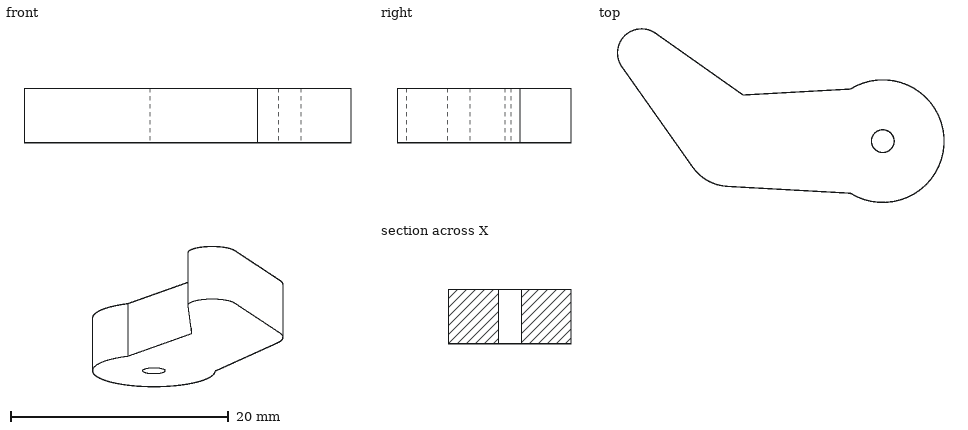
import cadquery as cq
import math

thickness = 5.0
hole_diameter = 2.07
head_radius = 5.65

pivot_center = (0, 0)
pivot_radius = 4.95
elbow_center = (-14.05, 0)
elbow_radius = 4.17
tip_center = (-22.15, 8.1)
tip_radius = 2.22


def disc(center, radius):
    return cq.Workplane("XY").center(*center).circle(radius).extrude(thickness)


def point_on_circle(center, radius, angle):
    x, y = center
    return (x + radius * math.cos(angle), y + radius * math.sin(angle))


def tapered_arm(start, start_radius, end, end_radius):
    """Two discs joined by their outer common tangents."""
    dx = end[0] - start[0]
    dy = end[1] - start[1]
    direction = math.atan2(dy, dx)
    spread = math.acos((start_radius - end_radius) / math.hypot(dx, dy))
    corners = [
        point_on_circle(start, start_radius, direction + spread),
        point_on_circle(end, end_radius, direction + spread),
        point_on_circle(end, end_radius, direction - spread),
        point_on_circle(start, start_radius, direction - spread),
    ]
    web = cq.Workplane("XY").polyline(corners).close().extrude(thickness)
    return web.union(disc(start, start_radius)).union(disc(end, end_radius))


main_arm = tapered_arm(pivot_center, pivot_radius, elbow_center, elbow_radius)
tip_arm = tapered_arm(elbow_center, elbow_radius, tip_center, tip_radius)
head = disc(pivot_center, head_radius)
pivot_hole = disc(pivot_center, hole_diameter / 2)

result = head.union(main_arm).union(tip_arm).cut(pivot_hole).clean()